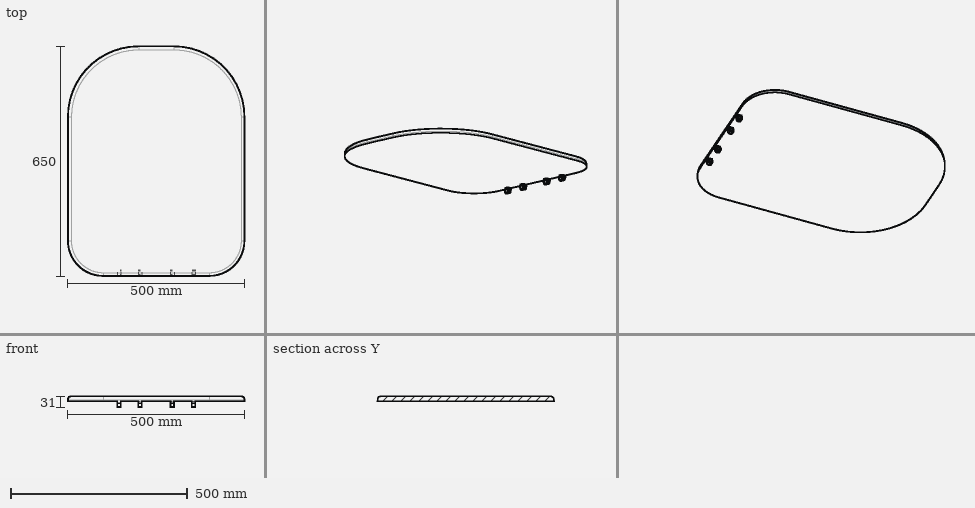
import cadquery as cq

width = 500.0
length = 650.0
thickness = 15.0
front_corner_radius = 100.0
back_corner_radius = 2 * front_corner_radius
top_edge_radius = 10.0

overall_height = 31.0
lug_width = 10.5
lug_outer_offset = 105.0
lug_pitch = 60.0
lug_block_depth = 15.0
lug_block_drop = 5.0
ring_diameter = 15.0
hole_diameter = 10.0
ring_center_y = 10.0
ring_center_z = thickness - overall_height + ring_diameter / 2


def make_plate():
    """Rounded plate with a filleted upper rim."""
    plate = cq.Workplane("XY").box(width, length, thickness, centered=(True, False, False))
    plate = plate.edges("|Z and <Y").fillet(front_corner_radius)
    plate = plate.edges("|Z and >Y").fillet(back_corner_radius)
    return plate.faces(">Z").edges().fillet(top_edge_radius)


def make_lug(center_x):
    """Hinge lug with its hole running along X."""
    side = cq.Workplane("YZ", origin=(center_x - lug_width / 2, 0, 0))
    block = side.rect(lug_block_depth, -lug_block_drop, centered=False).extrude(lug_width)
    ring_side = side.center(ring_center_y, ring_center_z)
    ring = ring_side.circle(ring_diameter / 2).extrude(lug_width)
    hole = ring_side.circle(hole_diameter / 2).extrude(lug_width)
    return block.union(ring).cut(hole)


result = make_plate()
for side_sign in (-1, 1):
    for offset in (lug_outer_offset, lug_outer_offset - lug_pitch):
        result = result.union(make_lug(side_sign * offset))